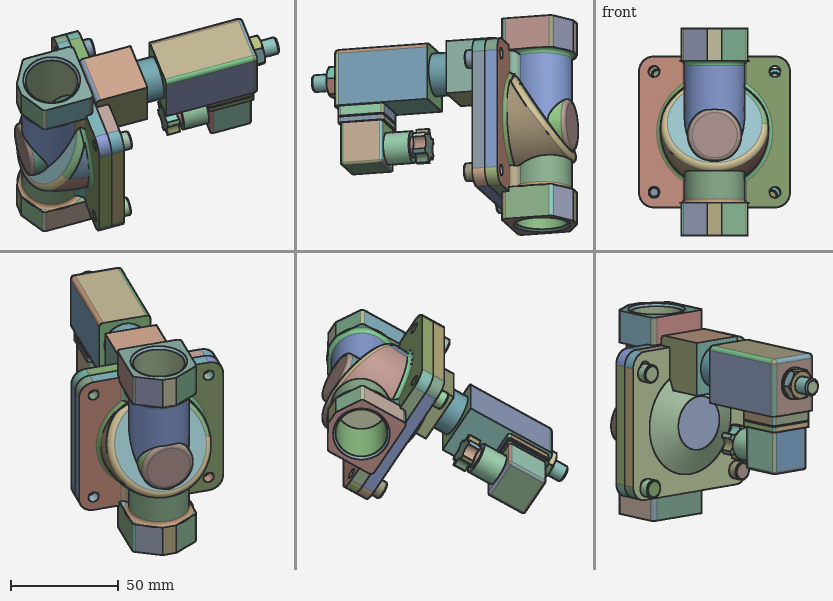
import cadquery as cq
import math


height = 96.0
front_y = -16.0
tip_y = front_y + 126

bore_d = 24.1
pipe_d = 28.0
port_width = 31.0
port_length = 15.1
port_rear_y = 15.4
port_fillet = 2.0
bore_chamfer = 1.1

flange_width = 70.0
flange_corner = 7.0
plate_thickness = 6.0
flange_y = 11.6
joint_y = flange_y + plate_thickness
cover_y = joint_y + plate_thickness

dome_d = 50.0
dome_tilt = 33.5
rim_fillet = 3.0
dome_root_fillet = 1.9
web_fillet = 3.0
neck_fillet = 2.0

seat_z = -1.4
boss_d = 25.0
boss_y = -14.5
boss_fillet = 2.0
outlet_top_z = -17.6

cone_top_d = 25.2
cone_top_y = 29.7
block_size = 25.0
block_fillet = 2.0
block_z = 27.5
block_y = joint_y + block_size

screw_d = 5.0
screw_head_d = 8.5
screw_head_length = 5.0
screw_chamfer = 0.5
hole_offset = flange_width / 2 - flange_corner
screw_circle_d = 77.1
screw_turn = -1.5

stem_d = 20.0
coil_front_y = 51.7
coil_rear_y = 96.6
coil_height = 27.0
coil_fillet = 2.0
coil_top_z = block_z + block_size / 2
coil_bottom_z = coil_top_z - coil_height

washer_d = 15.0
washer_thickness = 0.5
nut_corner_d = 15.0
nut_end_y = 102.0
nut_chamfer_height = 0.6
stud_d = 8.0
stud_chamfer = 0.8

plug_y = 84.3
plug_base_width = 22.0
plug_base_bottom_z = 5.2
plug_width = 20.0
plug_bottom_z = -15.0
plug_fillet = 1.3
groove_z = 8.1
groove_height = 0.5
groove_depth = 0.3

gland_z = -6.3
gland_d = 15.0
gland_end_y = 62.2
gland_neck_d = 10.0
knob_d = 16.0
knob_rear_y = 60.2
knob_front_y = 54.3
notch_d = 6.7
notch_circle_d = 18.0
notch_count = 6


def cylinder_y(diameter, start_y, end_y, x=0.0, z=0.0):
    """Cylinder parallel to Y between two Y positions."""
    return cq.Workplane(cq.Solid.makeCylinder(
        diameter / 2, end_y - start_y, cq.Vector(x, start_y, z), cq.Vector(0, 1, 0)))


def cylinder_z(diameter, start_z, end_z):
    """Cylinder on the Z axis between two Z positions."""
    return cq.Workplane("XY", origin=(0, 0, start_z)).circle(diameter / 2).extrude(end_z - start_z)


def box_between(width, y_range, z_range):
    """Box centred on X = 0 that fills the given Y and Z ranges."""
    size_y = y_range[1] - y_range[0]
    size_z = z_range[1] - z_range[0]
    return cq.Workplane("XY").box(width, size_y, size_z).translate(
        (0, sum(y_range) / 2, sum(z_range) / 2))


def square_plate(start_y):
    """Square plate with rounded corners, lying across Y."""
    plate = box_between(flange_width, (start_y, start_y + plate_thickness),
                        (-flange_width / 2, flange_width / 2))
    return plate.edges("|Y").fillet(flange_corner)


def hole_positions():
    return [(x, z) for x in (-hole_offset, hole_offset) for z in (-hole_offset, hole_offset)]


def screw_positions():
    """Four points on the screw circle, which is centred on the boss axis."""
    radius = screw_circle_d / 2
    angles = [math.radians(45 + screw_turn + 90 * i) for i in range(4)]
    return [(radius * math.cos(a), seat_z + radius * math.sin(a)) for a in angles]


def slanted_face():
    """Plane of the slanted dome face, centred on the rim, with its normal pointing out."""
    tilt = math.radians(dome_tilt)
    radius = dome_d / 2
    centre = (0, flange_y - radius * math.sin(tilt), radius - radius * math.cos(tilt))
    return cq.Plane(centre, (1, 0, 0), (0, -math.cos(tilt), math.sin(tilt)))


def front_half_space():
    """Large block in front of the slanted dome face."""
    return cq.Workplane(slanted_face()).rect(2 * height, 2 * height).extrude(height)


def make_rim_cutter():
    """Ring that rounds the rim of the slanted face."""
    radius = dome_d / 2
    return (cq.Workplane(slanted_face()).transformed(rotate=(90, 0, 0))
            .moveTo(radius - rim_fillet, 0)
            .radiusArc((radius, -rim_fillet), rim_fillet)
            .lineTo(radius + rim_fillet, -rim_fillet)
            .lineTo(radius + rim_fillet, rim_fillet)
            .lineTo(radius - rim_fillet, rim_fillet)
            .close().revolve(360, (0, 0, 0), (0, 1, 0)))


def make_dome_root():
    """Concave ring that joins the dome to the flange."""
    radius = dome_d / 2
    root = (cq.Workplane("XY").moveTo(radius - dome_root_fillet, flange_y)
            .lineTo(radius + dome_root_fillet, flange_y)
            .radiusArc((radius, flange_y - dome_root_fillet), -dome_root_fillet)
            .lineTo(radius - dome_root_fillet, flange_y - dome_root_fillet)
            .close().revolve(360, (0, 0, 0), (0, 1, 0)))
    return root.cut(front_half_space())


def make_dome():
    """Round dome swept by tilting its circle about its top tangent line."""
    radius = dome_d / 2
    dome = (cq.Workplane("XZ", origin=(0, flange_y, 0)).circle(radius)
            .revolve(dome_tilt, (1.3, radius, 0), (-1.3, radius, 0)))
    dome = dome.cut(make_rim_cutter(), clean=False)
    foot = cylinder_y(dome_d, flange_y, joint_y)
    return dome.union(foot, clean=False).union(make_dome_root(), clean=False)


def make_port(start_z):
    """Hexagonal port with a square rear half and a flat front."""
    half = port_width / 2
    corner_y = -half * math.tan(math.radians(30))
    front_half_width = (half / math.cos(math.radians(30)) + front_y) * math.tan(math.radians(60))
    outline = [(-half, port_rear_y), (half, port_rear_y), (half, corner_y),
               (front_half_width, front_y), (-front_half_width, front_y), (-half, corner_y)]
    port = cq.Workplane("XY", origin=(0, 0, start_z)).polyline(outline).close().extrude(port_length)
    return port.edges("|Z").edges(cq.selectors.BoxSelector(
        (-height, corner_y - 1.3, -height), (height, height, height))).fillet(port_fillet)


def make_neck():
    """Concave ring that joins the pipe to the upper port."""
    radius = pipe_d / 2
    root_z = height / 2 - port_length
    return (cq.Workplane("XZ").moveTo(0, root_z).lineTo(radius + neck_fillet, root_z)
            .radiusArc((radius, root_z - neck_fillet), -neck_fillet)
            .lineTo(0, root_z - neck_fillet).close().revolve(360, (0, 0, 0), (0, 1, 0)))


def make_web():
    """Concave web between the pipe and the flange."""
    radius = pipe_d / 2
    centre_y = flange_y - web_fillet
    centre_x = math.sqrt((radius + web_fillet) ** 2 - centre_y ** 2)
    tangent_x = centre_x * radius / (radius + web_fillet)
    tangent_y = centre_y * radius / (radius + web_fillet)
    end_z = height / 2 - port_length
    return (cq.Workplane("XY", origin=(0, 0, -end_z))
            .moveTo(-tangent_x, tangent_y).lineTo(tangent_x, tangent_y)
            .radiusArc((centre_x, flange_y), web_fillet)
            .lineTo(-centre_x, flange_y)
            .radiusArc((-tangent_x, tangent_y), web_fillet)
            .close().extrude(2 * end_z))


def make_boss():
    boss = cylinder_y(boss_d, boss_y, 0, z=seat_z)
    return boss.faces("<Y").edges().fillet(boss_fillet)


def make_passages():
    """Upper bore that ends on the slanted face and the boss, and the blind lower bore."""
    end_z = height / 2
    upper = cylinder_z(bore_d, seat_z, end_z).intersect(front_half_space())
    upper = upper.cut(cylinder_y(boss_d, front_y, joint_y, z=seat_z))
    upper = upper.union(cylinder_z(bore_d, end_z - port_length, end_z))
    lower = cylinder_z(bore_d, -end_z, outlet_top_z)
    mouth = cq.Workplane(cq.Solid.makeCone(
        bore_d / 2 + bore_chamfer, bore_d / 2, bore_chamfer,
        cq.Vector(0, 0, -end_z), cq.Vector(0, 0, 1)))
    return upper.union(mouth.mirror("XY")), lower.union(mouth)


def make_body():
    end_z = height / 2
    body = cylinder_z(pipe_d, -end_z, end_z).union(make_web())
    body = body.union(square_plate(flange_y))
    body = body.union(make_port(end_z - port_length)).union(make_port(-end_z))
    body = body.union(make_neck()).union(make_neck().mirror("XY"))
    body = body.union(make_dome(), clean=False)
    body = body.union(make_boss(), clean=False)
    for passage in make_passages():
        body = body.cut(passage, clean=False)
    for x, z in hole_positions():
        body = body.cut(cylinder_y(screw_d, flange_y, joint_y, x, z), clean=False)
    return body


def make_cover():
    block = box_between(block_size, (joint_y, block_y),
                        (block_z - block_size / 2, block_z + block_size / 2))
    block = block.edges(">Z and <Y").fillet(block_fillet)
    cone = cq.Workplane(cq.Solid.makeCone(
        dome_d / 2, cone_top_d / 2, cone_top_y - cover_y,
        cq.Vector(0, cover_y, seat_z), cq.Vector(0, 1, 0)))
    cover = square_plate(joint_y).union(cone).union(block)
    for x, z in hole_positions() + screw_positions():
        cover = cover.cut(cylinder_y(screw_d, joint_y, cover_y, x, z))
    for x, z in screw_positions():
        cover = cover.cut(cylinder_y(screw_head_d, cover_y, cover_y + screw_head_length, x, z))
    return cover


def make_screw(x, z):
    """Cap screw whose shank ends flush with the cover joint."""
    shank = cylinder_y(screw_d, joint_y, cover_y, x, z).faces("<Y").chamfer(screw_chamfer)
    head = cylinder_y(screw_head_d, cover_y, cover_y + screw_head_length, x, z)
    return shank.union(head.faces(">Y").chamfer(screw_chamfer))


def make_coil():
    coil = box_between(block_size, (coil_front_y, coil_rear_y), (coil_bottom_z, coil_top_z))
    rounded = coil.edges("(|Y and >Z) or (>Y and >Z) or (|Z and >Y)").fillet(coil_fillet)
    return rounded.union(cylinder_y(stem_d, block_y, coil_front_y, z=block_z))


def make_nut_and_stud():
    nut_start_y = coil_rear_y + washer_thickness
    washer = cylinder_y(washer_d, coil_rear_y, nut_start_y, z=block_z)
    nut = (cq.Workplane("XZ", origin=(0, nut_start_y, block_z))
           .polygon(6, nut_corner_d).extrude(nut_start_y - nut_end_y))
    envelope = cylinder_y(nut_corner_d, nut_start_y, nut_end_y, z=block_z)
    nut_chamfer_width = nut_corner_d / 2 * (1 - math.cos(math.radians(30)))
    envelope = envelope.edges().chamfer(nut_chamfer_height, nut_chamfer_width)
    stud = cylinder_y(stud_d, nut_end_y, tip_y, z=block_z).faces(">Y").chamfer(stud_chamfer)
    return washer.union(nut.intersect(envelope)).union(stud)


def make_plug():
    def square_prism(width, bottom_z, top_z):
        half = width / 2
        return box_between(width, (plug_y - half, plug_y + half), (bottom_z, top_z))

    base = square_prism(plug_base_width, plug_base_bottom_z, coil_bottom_z)
    base = base.edges("|Z").fillet(plug_fillet)
    groove = square_prism(plug_base_width, groove_z - groove_height / 2, groove_z + groove_height / 2)
    core = square_prism(plug_base_width - 2 * groove_depth, plug_base_bottom_z, coil_bottom_z)
    core = core.edges("|Z").fillet(plug_fillet - groove_depth)
    plug = square_prism(plug_width, plug_bottom_z, plug_base_bottom_z)
    plug = plug.edges("|Z or <Z").fillet(plug_fillet)
    return base.cut(groove.cut(core)).union(plug)


def make_cable_gland():
    plug_front_y = plug_y - plug_width / 2
    gland = cylinder_y(gland_d, gland_end_y, plug_front_y, z=gland_z)
    neck = cylinder_y(gland_neck_d, knob_rear_y, gland_end_y, z=gland_z)
    knob = cylinder_y(knob_d, knob_front_y, knob_rear_y, z=gland_z)
    for i in range(notch_count):
        angle = 2 * math.pi * i / notch_count
        x = notch_circle_d / 2 * math.cos(angle)
        z = gland_z + notch_circle_d / 2 * math.sin(angle)
        knob = knob.cut(cylinder_y(notch_d, knob_front_y, knob_rear_y, x, z))
    return gland.union(neck).union(knob)


def make_solenoid():
    return make_coil().union(make_nut_and_stud()).union(make_plug()).union(make_cable_gland())


body = make_body()
cover = make_cover()
screws = [make_screw(x, z) for x, z in screw_positions()]
solenoid = make_solenoid()

result = cq.Compound.makeCompound(
    [body.val(), cover.val(), *[screw.val() for screw in screws], solenoid.val()])